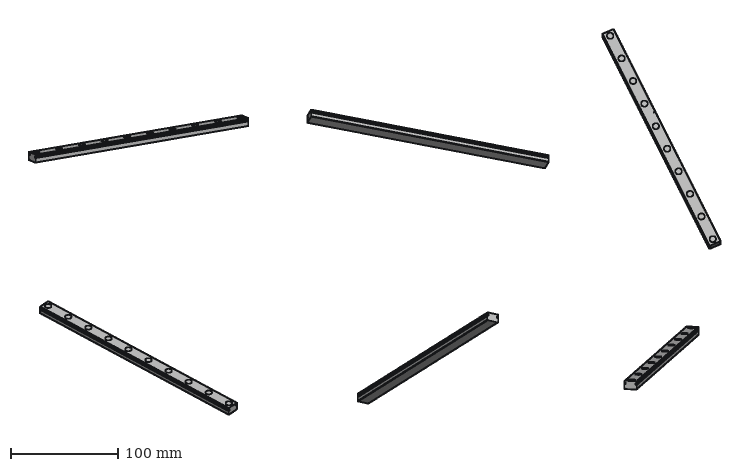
import cadquery as cq

length = 235.0
width = 12.0
height = 8.0

top_chamfer = 0.5
bottom_chamfer = 0.5

groove_height = 5.5
groove_opening = 1.6
groove_depth = 1.0
relief_width = 0.7
relief_depth = 1.5

seat_count = 10
seat_end_margin = 5.0
seat_pitch = (length - 2 * seat_end_margin) / (seat_count - 1)
seat_diameter = 6.0
seat_depth = 0.12


def rail_body():
    """Plain bar with all four long edges chamfered."""
    bar = cq.Workplane("XY").box(width, length, height, centered=(True, True, False))
    return bar.edges("|Y and >Z").chamfer(top_chamfer).edges("|Y and <Z").chamfer(bottom_chamfer)


def ball_groove(side):
    """Groove cutter for one side face: side is 1 for +X and -1 for -X."""
    face_x = side * width / 2
    half_opening = groove_opening / 2
    section = cq.Workplane("XZ", origin=(face_x, 0, groove_height))
    arc = (
        section.moveTo(0, -half_opening)
        .threePointArc((-side * groove_depth, 0), (0, half_opening))
        .close()
        .extrude(length / 2, both=True)
    )
    relief = section.rect(2 * relief_depth, relief_width).extrude(length / 2, both=True)
    return arc.union(relief)


def cap_seats():
    """Shallow round recesses, evenly spaced and centred along the rail."""
    return (
        cq.Workplane("XY", origin=(0, 0, height - seat_depth))
        .rarray(2.4, seat_pitch, 1, seat_count)
        .circle(seat_diameter / 2)
        .extrude(seat_depth)
    )


result = rail_body().cut(ball_groove(1)).cut(ball_groove(-1)).cut(cap_seats())